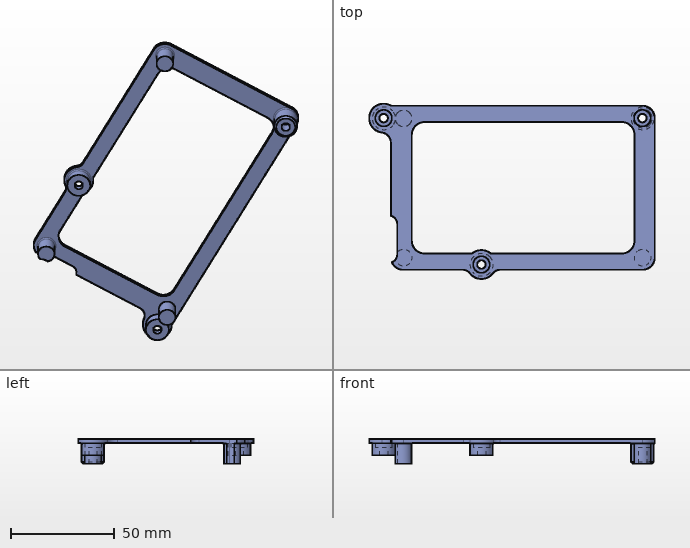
import cadquery as cq
import math

length = 137.5
top_edge = 83.5
bottom_edge = 4.4
left_edge = 10.5
total_height = 12.0
plate_thickness = 2.0
corner_radius = 6.0

window_left = 20.6
window_right = 127.6
window_bottom = 12.4
window_top = 75.5

ear_radius = 7.0
boss_diameter = 11.0
boss_height = 8.0
screw_hole_diameter = 4.0
counterbore_diameter = 8.0
counterbore_depth = 4.0
end_chamfer = 1.0
upper_row = top_edge - corner_radius
right_column = length - corner_radius
left_boss = (ear_radius, upper_row)
right_boss = (right_column, upper_row)
bottom_boss = (54.0, ear_radius)

post_diameter = 8.0
left_column = left_edge + corner_radius
lower_row = bottom_edge + corner_radius
posts = [(left_column, upper_row), (left_column, lower_row), (right_column, lower_row)]

ear_blend = 4.0
side_blend = 5.0
root_fillet = 0.5

relief_radius = 4.0
relief_right = 13.5
relief_bottom = 7.8
relief_top = 30.5


def box(left, bottom, right, top, height):
    """Block hanging down from the top face."""
    return (
        cq.Workplane("XY")
        .center((left + right) / 2, (bottom + top) / 2)
        .rect(right - left, top - bottom)
        .extrude(-height)
    )


def cylinder(center, diameter, height):
    """Round stub hanging down from the top face."""
    return cq.Workplane("XY").center(*center).circle(diameter / 2).extrude(-height)


def blend(ear, edge_point, blend_center, radius, inner_point):
    """Web between an ear and a frame edge, closed by a tangent concave arc.

    inner_point is a spot inside the frame where the overlap with it closes.
    """
    dx = blend_center[0] - ear[0]
    dy = blend_center[1] - ear[1]
    share = ear_radius / math.hypot(dx, dy)
    tangent_point = (ear[0] + share * dx, ear[1] + share * dy)
    web = (
        cq.Workplane("XY")
        .polyline([ear, tangent_point, blend_center, edge_point, inner_point])
        .close()
        .extrude(-plate_thickness)
    )
    return web.cut(cylinder(blend_center, 2 * radius, plate_thickness))


def bottom_edge_blend(side):
    """Blend from the bottom ear to the bottom edge; side is -1 for left, +1 for right."""
    center_y = bottom_edge - ear_blend
    reach = math.sqrt((ear_radius + ear_blend) ** 2 - (center_y - bottom_boss[1]) ** 2)
    center_x = bottom_boss[0] + side * reach
    return blend(bottom_boss, (center_x, bottom_edge), (center_x, center_y), ear_blend, bottom_boss)


def left_edge_blend():
    """Blend from the left ear down to the left edge."""
    center_x = left_edge - side_blend
    drop = math.sqrt((ear_radius + side_blend) ** 2 - (center_x - left_boss[0]) ** 2)
    center_y = left_boss[1] - drop
    return blend(left_boss, (left_edge, center_y), (center_x, center_y), side_blend, posts[0])


def root_flare(center, diameter):
    """Concave fillet ring where a stub meets the underside of the plate."""
    inner = diameter / 2
    outer = inner + root_fillet
    bottom = -plate_thickness - root_fillet
    inset = root_fillet * (1 - math.sqrt(0.5))
    ring = (
        cq.Workplane("XZ")
        .moveTo(0, -plate_thickness)
        .lineTo(outer, -plate_thickness)
        .threePointArc((inner + inset, -plate_thickness - inset), (inner, bottom))
        .lineTo(0, bottom)
        .close()
        .revolve(360, (0, 0), (0, 1))
    )
    return ring.translate((*center, 0))


plate = box(left_edge, bottom_edge, length, top_edge, plate_thickness)
plate = plate.edges("|Z and (>X or <Y)").fillet(corner_radius)
window = box(window_left, window_bottom, window_right, window_top, plate_thickness)
plate = plate.cut(window.edges("|Z").fillet(corner_radius))

for ear in (left_boss, bottom_boss):
    plate = plate.union(cylinder(ear, 2 * ear_radius, plate_thickness))
plate = plate.union(left_edge_blend())
for side in (-1, 1):
    plate = plate.union(bottom_edge_blend(side))

result = plate
for center in (left_boss, bottom_boss):
    result = result.union(cylinder(center, boss_diameter, boss_height))
tall_boss = cylinder(right_boss, boss_diameter, total_height).faces("<Z").chamfer(end_chamfer)
result = result.union(tall_boss)
for center in posts:
    result = result.union(cylinder(center, post_diameter, total_height))

for center in (right_boss, bottom_boss):
    result = result.union(root_flare(center, boss_diameter))
for center in posts[1:]:
    result = result.union(root_flare(center, post_diameter))

for center in (left_boss, right_boss, bottom_boss):
    result = result.cut(cylinder(center, screw_hole_diameter, total_height))
    result = result.cut(cylinder(center, counterbore_diameter, counterbore_depth))

relief = (
    cq.Workplane("XY")
    .center(relief_right - relief_radius, (relief_bottom + relief_top) / 2)
    .slot2D(relief_top - relief_bottom, 2 * relief_radius, 90)
    .extrude(-total_height)
)
result = result.cut(relief)